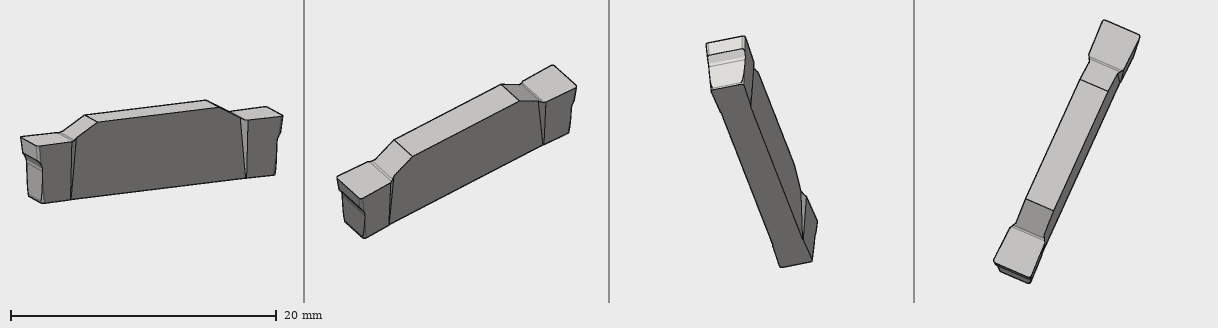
import cadquery as cq
import math

length = 20.53
height = 5.79
edge_width = 3.1
core_width = 2.32
edge_height = 4.6

head_length = 2.94
head_inner_width = 2.9
side_draft = math.radians(3.1)
front_clearance = math.radians(6.6)
corner_radius = 0.2
flare_angle = math.radians(30)

lip_height = 3.39
recess_height = 2.55
recess_depth = 0.51

ramp_angle = math.radians(30)
ramp_top_inset = 5.21
ramp_root_radius = 0.3

end_y = -length / 2
core_half = core_width / 2


def head_outline(z):
    """Corner points of the drafted head and its flare into the core at height z."""
    depth = edge_height - z
    narrowing = depth * math.tan(side_draft)
    front_inset = depth * math.tan(front_clearance)
    width_slope = (edge_width - head_inner_width) / 2 / head_length
    sharp_half = edge_width / 2 + corner_radius * width_slope
    front_half = sharp_half - narrowing - front_inset * width_slope
    inner_half = head_inner_width / 2 - narrowing
    flare_length = (inner_half - core_half) / math.tan(flare_angle)
    front_y = end_y + front_inset
    inner_y = end_y + head_length
    flare_y = inner_y + flare_length
    right_side = [(front_half, front_y), (inner_half, inner_y), (core_half, flare_y)]
    left_side = [(-x, y) for x, y in reversed(right_side)]
    return right_side + left_side


def drafted_head():
    """Full-height head with rounded front corners."""
    head = (
        cq.Workplane("XY").polyline(head_outline(0)).close()
        .workplane(offset=height).polyline(head_outline(height)).close()
        .loft(ruled=True, combine=True)
    )
    front_corners = head.faces("<Y").edges("not #Z").edges("not |X")
    return front_corners.fillet(corner_radius)


def half_core():
    """Plain core from the middle of the head to the middle of the part."""
    start_y = end_y + head_length / 2
    return cq.Workplane("XY").box(core_width, -start_y, height, centered=(True, False, False)).translate(
        (0, start_y, 0)
    )


def side_profile():
    """Half of the part's lengthwise silhouette, extruded across its width."""
    lip_inset = (edge_height - lip_height) * math.tan(front_clearance)
    recess_rise = lip_height - recess_height
    recess_run = recess_depth - lip_inset
    recess_radius = (recess_run**2 + recess_rise**2) / (2 * recess_run)
    arc_half_angle = math.asin(recess_rise / recess_radius) / 2
    recess_y = end_y + recess_depth
    arc_middle = (
        recess_y - recess_radius * (1 - math.cos(arc_half_angle)),
        recess_height + recess_radius * math.sin(arc_half_angle),
    )

    ramp_top_y = end_y + ramp_top_inset
    ramp_root_y = ramp_top_y - (height - edge_height) / math.tan(ramp_angle)
    root_tangent = ramp_root_radius * math.tan(ramp_angle / 2)
    root_end = (
        ramp_root_y + root_tangent * math.cos(ramp_angle),
        edge_height + root_tangent * math.sin(ramp_angle),
    )

    return (
        cq.Workplane("YZ", origin=(-edge_width, 0, 0))
        .moveTo(recess_y, 0)
        .lineTo(recess_y, recess_height)
        .threePointArc(arc_middle, (end_y + lip_inset, lip_height))
        .lineTo(end_y, lip_height)
        .lineTo(end_y, edge_height)
        .lineTo(ramp_root_y - root_tangent, edge_height)
        .tangentArcPoint(root_end, relative=False)
        .lineTo(ramp_top_y, height)
        .lineTo(0, height)
        .lineTo(0, 0)
        .close()
        .extrude(2 * edge_width)
    )


half_part = drafted_head().union(half_core()).intersect(side_profile())
result = half_part.union(half_part.mirror("XZ")).clean()